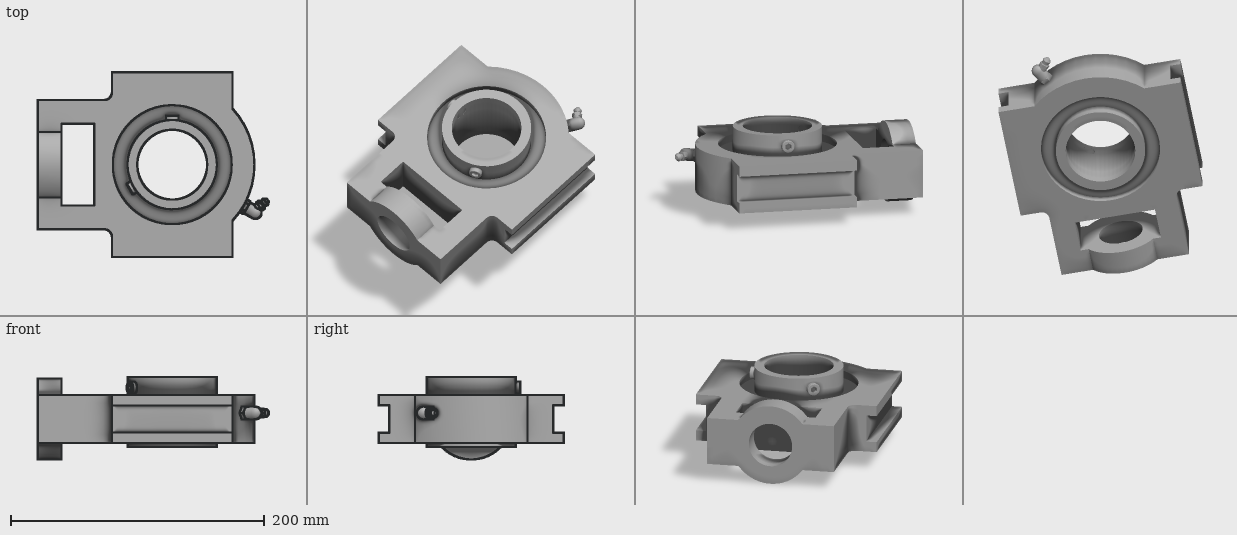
import cadquery as cq
import math


overall_height = 65.4
body_height = 38.0
rail_length = 95.3
body_width = 146.0
nose_radius = 65.0
arm_end_x = -106.2
arm_width = 102.2
corner_radius = 6.0
groove_height = 21.5
groove_depth = 8.2

pad_thickness = 19.0
pad_diameter = 64.0
pad_bore = 35.0
window_length = 25.5
window_width = 64.5

recess_diameter = 94.0
recess_depth = 6.0
ring_diameter = 70.5
ring_bore = 55.0
ring_top_z = overall_height - pad_diameter / 2
ring_bottom_z = -22.3

screw_diameter = 10.0
screw_z = 24.6
screw_protrusion = 3.7
screw_angles = (90, 210)
screw_chamfer = 0.4
socket_across_flats = 5.0
socket_depth = 3.7

fitting_angle = -30
fitting_z = 4.7
fitting_diameter = 10.0
hex_height = 3.3
hex_trim_angle = 30
fitting_root = 3.7
elbow_reach = 10.8
nipple_start = 8.5
nipple_turn = 67.5

collar_diameter = 7.0
collar_start = 6.2
collar_end = 9.0
neck_radius = 2.4
head_start = 10.0
head_start_radius = 2.7
head_widest = 12.5
head_radius = 3.3
tip_radius = 1.6
nipple_length = 14.6


def radial_plane(angle, radius, z):
    """Plane facing outward at a radius, with its local X axis horizontal."""
    turn = math.radians(angle)
    outward = (math.cos(turn), math.sin(turn), 0)
    sideways = (-math.sin(turn), math.cos(turn), 0)
    origin = (radius * outward[0], radius * outward[1], z)
    return cq.Plane(origin=origin, xDir=sideways, normal=outward)


def cylinder(plane, diameter, length):
    return cq.Workplane(plane).circle(diameter / 2).extrude(length)


def hexagon_circle(across_flats):
    """Diameter of the circle through the corners of a hexagon."""
    return across_flats / math.cos(math.pi / 6)


def make_housing():
    arm_length = -arm_end_x
    rails = cq.Workplane("XY").box(rail_length, body_width, body_height)
    arm = cq.Workplane("XY").box(arm_length, arm_width, body_height).translate((arm_end_x / 2, 0, 0))
    housing = rails.union(arm)
    inner_corners = cq.selectors.BoxSelector(
        (-rail_length / 2 - corner_radius, -arm_width / 2 - corner_radius, -body_height),
        (-rail_length / 2 + corner_radius, arm_width / 2 + corner_radius, body_height),
    )
    housing = housing.edges("|Z").edges(inner_corners).fillet(corner_radius)
    nose = cq.Workplane("XY").circle(nose_radius).extrude(body_height / 2, both=True)
    return housing.union(nose)


def cut_guide_grooves(housing):
    for side in (-1, 1):
        groove_y = side * (body_width - groove_depth) / 2
        groove = cq.Workplane("XY").box(rail_length, groove_depth, groove_height)
        housing = housing.cut(groove.translate((0, groove_y, 0)))
    return housing


def add_screw_end(housing):
    pad_plane = cq.Plane.named("YZ", origin=(arm_end_x, 0, 0))
    pad = cylinder(pad_plane, pad_diameter, pad_thickness)
    bore = cylinder(pad_plane, pad_bore, pad_thickness)
    window_x = arm_end_x + pad_thickness + window_length / 2
    window = cq.Workplane("XY").box(window_length, window_width, body_height)
    return housing.cut(window.translate((window_x, 0, 0))).union(pad).cut(bore)


def add_bearing(housing):
    for side in (-1, 1):
        face = cq.Plane.named("XY", origin=(0, 0, side * body_height / 2))
        housing = housing.cut(cylinder(face, recess_diameter, -side * recess_depth))
    ring_plane = cq.Plane.named("XY", origin=(0, 0, ring_bottom_z))
    ring_height = ring_top_z - ring_bottom_z
    ring = cylinder(ring_plane, ring_diameter, ring_height)
    bore = cylinder(ring_plane, ring_bore, ring_height)
    return housing.union(ring).cut(bore)


def add_set_screw(housing, angle):
    clearance_plane = radial_plane(angle, 0, screw_z)
    clearance = cylinder(clearance_plane, screw_diameter, ring_bore / 2)
    screw_plane = radial_plane(angle, ring_bore / 2, screw_z)
    screw_length = (ring_diameter - ring_bore) / 2 + screw_protrusion
    screw = cylinder(screw_plane, screw_diameter, screw_length)
    outer_end = cq.selectors.DirectionMinMaxSelector(screw_plane.zDir)
    screw = screw.faces(outer_end).chamfer(screw_chamfer)
    end_plane = radial_plane(angle, ring_bore / 2 + screw_length, screw_z)
    socket_plane = end_plane.rotated((0, 0, 90))
    socket = cq.Workplane(socket_plane).polygon(6, hexagon_circle(socket_across_flats))
    return housing.cut(clearance).union(screw).cut(socket.extrude(-socket_depth))


def make_nipple():
    """Grease nipple on its own axis, which leans away from the elbow axis."""
    point = radial_plane(fitting_angle, nose_radius + nipple_start, fitting_z).origin
    nipple_angle = math.radians(fitting_angle + nipple_turn)
    along = (math.cos(nipple_angle), math.sin(nipple_angle), 0)
    turning_plane = cq.Plane(origin=point, xDir=along, normal=(0, 0, 1))
    stub_radius = collar_diameter / 2
    outline = [
        (0, 0),
        (0, stub_radius),
        (collar_end, stub_radius),
        (collar_end, neck_radius),
        (head_start, neck_radius),
        (head_start, head_start_radius),
        (head_widest, head_radius),
        (nipple_length, tip_radius),
        (nipple_length, 0),
    ]
    turned = cq.Workplane(turning_plane).polyline(outline).close().revolve(360, (0, 0), (1, 0))
    collar_plane = cq.Plane(
        origin=turning_plane.toWorldCoords((collar_start, 0)),
        xDir=turning_plane.yDir,
        normal=turning_plane.xDir,
    )
    collar = cq.Workplane(collar_plane).polygon(6, hexagon_circle(collar_diameter))
    return turned.union(collar.extrude(collar_end - collar_start))


def make_hex_base(root_plane):
    """Hexagon with its outer corners turned off by a shallow cone."""
    height = fitting_root + hex_height
    corner_diameter = hexagon_circle(fitting_diameter)
    corner_trim = (corner_diameter - fitting_diameter) / 2
    corner_drop = corner_trim * math.tan(math.radians(hex_trim_angle))
    outer_end = cq.selectors.DirectionMinMaxSelector(root_plane.zDir)
    blank = cylinder(root_plane, corner_diameter, height)
    blank = blank.faces(outer_end).edges().chamfer(corner_drop, corner_trim)
    return cq.Workplane(root_plane).polygon(6, corner_diameter).extrude(height).intersect(blank)


def make_grease_fitting():
    root_plane = radial_plane(fitting_angle, nose_radius - fitting_root, fitting_z)
    elbow = cylinder(root_plane, fitting_diameter, fitting_root + elbow_reach)
    end_plane = radial_plane(fitting_angle, nose_radius + elbow_reach, fitting_z)
    round_end = cq.Workplane(end_plane).sphere(fitting_diameter / 2)
    return make_hex_base(root_plane).union(elbow).union(round_end).union(make_nipple())


result = make_housing()
result = cut_guide_grooves(result)
result = add_screw_end(result)
result = add_bearing(result)
for screw_angle in screw_angles:
    result = add_set_screw(result, screw_angle)
result = result.union(make_grease_fitting())